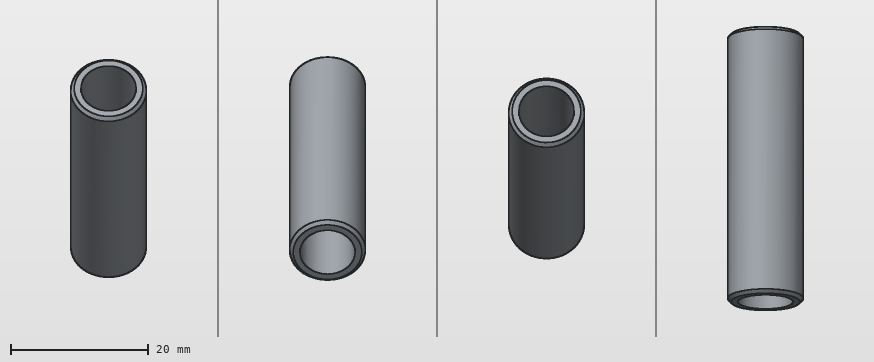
import cadquery as cq

length = 40
outer_diameter = 11.0
bore_diameter = 8
edge_chamfer = 0.5

sleeve = cq.Workplane("XY").circle(outer_diameter / 2).extrude(length)
sleeve = sleeve.faces("<Z or >Z").edges().chamfer(edge_chamfer)

bore = cq.Workplane("XY").circle(bore_diameter / 2).extrude(length)

result = sleeve.cut(bore)